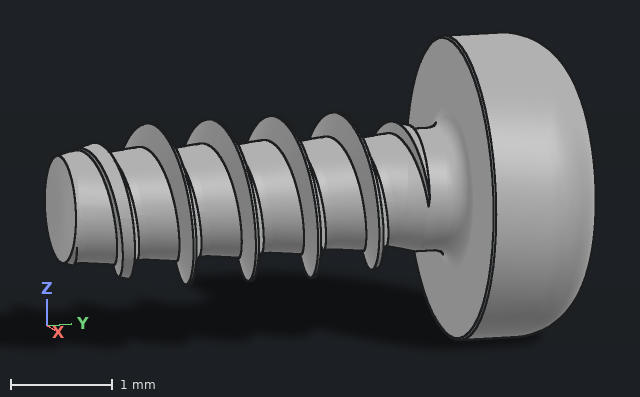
import cadquery as cq
import math


overall_length = 5.2
head_diameter = 3.0
head_radius = head_diameter / 2
head_height = 1.2
dome_radius = 0.605
head_edge_chamfer = 0.02

neck_radius = 0.605
neck_fillet = 0.2
neck_length = 0.4
core_radius = 0.54
taper_end = 0.775
tip_radius = 0.53
tip_recess_radius = 0.5
tip_recess_depth = 0.035
tip_position = overall_length - head_height

pitch = 0.64
overrun_turns = 2
crest_radius = 0.805
crest_half_width = 0.015
thread_crest_position = 0.96
thread_root_depth = 0.025

head_flank_start = -0.15
head_flank_knee = (0.65, -0.07)
tip_flank_end = (0.57, 0.1)
relief_end = 0.465
relief_end_radius = 0.535

run_in_radius = 0.645
run_in_end = 1.31
run_out_start = 2.775
trim_radius = 0.885


def revolve_profile(profile):
    """Revolve a closed XZ profile (radius, axial position) about the screw axis."""
    return profile.close().revolve(360, (0, 0, 0), (0, 1, 0))


def make_head():
    """Domed head with a filleted neck that tapers down into the threaded shank."""
    bevel = dome_radius * (1 - math.sqrt(0.5))
    neck_bevel = neck_fillet * (1 - math.sqrt(0.5))
    profile = (
        cq.Workplane("XZ")
        .moveTo(0, -head_height)
        .lineTo(head_radius - dome_radius, -head_height)
        .threePointArc(
            (head_radius - bevel, bevel - head_height),
            (head_radius, dome_radius - head_height),
        )
        .lineTo(head_radius, -head_edge_chamfer)
        .lineTo(head_radius - head_edge_chamfer, 0)
        .lineTo(neck_radius + neck_fillet, 0)
        .threePointArc((neck_radius + neck_bevel, neck_bevel), (neck_radius, neck_fillet))
        .lineTo(neck_radius, neck_length)
        .lineTo(core_radius - thread_root_depth, taper_end)
        .lineTo(0, taper_end)
    )
    return revolve_profile(profile)


def make_shank():
    """Core with a helical ridge and its gently sloping relief, trimmed to length and to a conical crest."""
    root_radius = core_radius - thread_root_depth
    start = thread_crest_position - overrun_turns * pitch
    helix = cq.Wire.makeHelix(pitch, tip_position + pitch - start, core_radius, cq.Vector(0, 0, start))
    section = [
        (root_radius, head_flank_start),
        head_flank_knee,
        (crest_radius, -crest_half_width),
        (crest_radius, crest_half_width),
        tip_flank_end,
        (relief_end_radius, relief_end),
        (root_radius, relief_end),
    ]
    ridge = (
        cq.Workplane("XZ", origin=(0, 0, start))
        .polyline(section)
        .close()
        .sweep(cq.Workplane(obj=helix), isFrenet=True)
    )
    core_start = start - pitch
    core_end = tip_position + overrun_turns * pitch
    core = (
        cq.Workplane("XY", origin=(0, 0, core_start))
        .circle(core_radius)
        .extrude(core_end - core_start)
    )
    envelope = revolve_profile(
        cq.Workplane("XZ")
        .moveTo(0, neck_length)
        .lineTo(run_in_radius, neck_length)
        .lineTo(trim_radius, run_in_end)
        .lineTo(trim_radius, run_out_start)
        .lineTo(tip_radius, tip_position)
        .lineTo(tip_recess_radius, tip_position)
        .lineTo(0, tip_position - tip_recess_depth)
    )
    return core.union(ridge).intersect(envelope)


screw = make_head().union(make_shank())

result = screw.rotate((0, 0, 0), (1, 0, 0), 90)